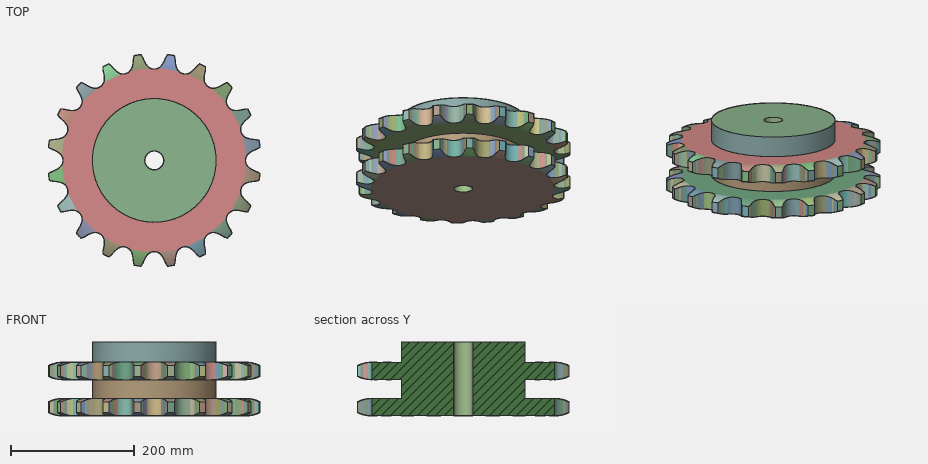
import cadquery as cq
import math

tooth_count = 20
pitch_radius = 162.5
roller_diameter = 29.0
tip_radius = 172.5
row_width = 28.5
row_spacing = 58.5
tip_width = 17.0
side_relief_radius = 148.5
hub_diameter = 200.0
bore_diameter = 30.0
total_height = 120.0

seat_clearance_factor = 1.005
working_offset_factor = 0.8
topping_offset_factor = 1.4
seat_end_angle = math.radians(35 + 60 / tooth_count)
working_sweep = math.radians(18 - 56 / tooth_count)

tooth_pitch_angle = 2 * math.pi / tooth_count
seat_radius = seat_clearance_factor * roller_diameter / 2
working_centre_offset = working_offset_factor * roller_diameter
working_radius = working_centre_offset + seat_radius
topping_centre_offset = topping_offset_factor * roller_diameter


def offset(point, distance, angle):
    """Point at a distance and direction from another point."""
    return (point[0] + distance * math.cos(angle), point[1] + distance * math.sin(angle))


def rotate(point, angle):
    """Point turned about the sprocket axis."""
    x, y = point
    return (x * math.cos(angle) - y * math.sin(angle), x * math.sin(angle) + y * math.cos(angle))


def mirror(point):
    """Matching point on the -X flank of the gap centred on +Y."""
    return (-point[0], point[1])


def flank_points():
    """Points of the +X flank of the gap centred on +Y, from the seat to the tip."""
    roller_centre = (0, pitch_radius)
    working_start = -seat_end_angle
    working_end = working_start + working_sweep
    working_centre = offset(roller_centre, -working_centre_offset, working_start)
    topping_centre = offset(roller_centre, topping_centre_offset, -tooth_pitch_angle / 2)

    seat_end = offset(working_centre, working_radius, working_start)
    working_mid = offset(working_centre, working_radius, (working_start + working_end) / 2)
    line_start = offset(working_centre, working_radius, working_end)

    tangent = working_end + math.pi / 2
    to_centre = (topping_centre[0] - line_start[0], topping_centre[1] - line_start[1])
    line_length = to_centre[0] * math.cos(tangent) + to_centre[1] * math.sin(tangent)
    line_end = offset(line_start, line_length, tangent)
    topping_radius = math.dist(topping_centre, line_end)

    centre_radius = math.hypot(*topping_centre)
    squares = centre_radius**2 + topping_radius**2 - tip_radius**2
    cosine = squares / (2 * centre_radius * topping_radius)
    inward = math.atan2(-topping_centre[1], -topping_centre[0])
    tip_angle = (inward - math.acos(cosine)) % (2 * math.pi)
    start_angle = (working_end + math.pi) % (2 * math.pi)
    topping_mid = offset(topping_centre, topping_radius, (start_angle + tip_angle) / 2)
    tip_corner = offset(topping_centre, topping_radius, tip_angle)
    return seat_end, working_mid, line_start, line_end, topping_mid, tip_corner


def add_gap(outline, turn):
    """Continue the outline clockwise through one gap and over the next tooth tip."""
    right_flank = flank_points()
    left_flank = [mirror(point) for point in right_flank]
    next_corner = rotate(left_flank[-1], turn - tooth_pitch_angle)
    tip_middle = rotate((0, tip_radius), turn - tooth_pitch_angle / 2)
    gap_bottom = rotate((0, pitch_radius - seat_radius), turn)

    seat_end, working_mid, line_start, line_end, topping_mid, tip_corner = [
        rotate(point, turn) for point in right_flank
    ]
    left_seat_end, left_working_mid, left_line_start, left_line_end, left_topping_mid = [
        rotate(point, turn) for point in left_flank[:-1]
    ]
    return (
        outline.threePointArc(left_topping_mid, left_line_end)
        .lineTo(*left_line_start)
        .threePointArc(left_working_mid, left_seat_end)
        .threePointArc(gap_bottom, seat_end)
        .threePointArc(working_mid, line_start)
        .lineTo(*line_end)
        .threePointArc(topping_mid, tip_corner)
        .threePointArc(tip_middle, next_corner)
    )


def toothed_outline():
    """Closed outline of one sprocket row, with a gap centred on +Y."""
    first_corner = mirror(flank_points()[-1])
    outline = cq.Workplane("XY").moveTo(*first_corner)
    for index in range(tooth_count):
        outline = add_gap(outline, -index * tooth_pitch_angle)
    return outline.close()


def relieved_disc():
    """Disc whose rim curves in from both faces to the tip width."""
    relief_height = (row_width - tip_width) / 2
    relief_depth = tip_radius - side_relief_radius
    relief_arc_radius = (relief_depth**2 + relief_height**2) / (2 * relief_height)
    half_sweep = math.asin(relief_depth / relief_arc_radius) / 2
    mid_radius = side_relief_radius + relief_arc_radius * math.sin(half_sweep)
    mid_drop = relief_arc_radius * (1 - math.cos(half_sweep))
    return (
        cq.Workplane("XZ")
        .lineTo(side_relief_radius, 0)
        .threePointArc((mid_radius, mid_drop), (tip_radius, relief_height))
        .lineTo(tip_radius, row_width - relief_height)
        .threePointArc((mid_radius, row_width - mid_drop), (side_relief_radius, row_width))
        .lineTo(0, row_width)
        .close()
        .revolve(360, (0, 0, 0), (0, 1, 0))
    )


row = toothed_outline().extrude(row_width).intersect(relieved_disc())
hub = cq.Workplane("XY").circle(hub_diameter / 2).extrude(total_height)
bore = cq.Workplane("XY").circle(bore_diameter / 2).extrude(total_height)

result = hub.union(row).union(row.translate((0, 0, row_spacing))).cut(bore)